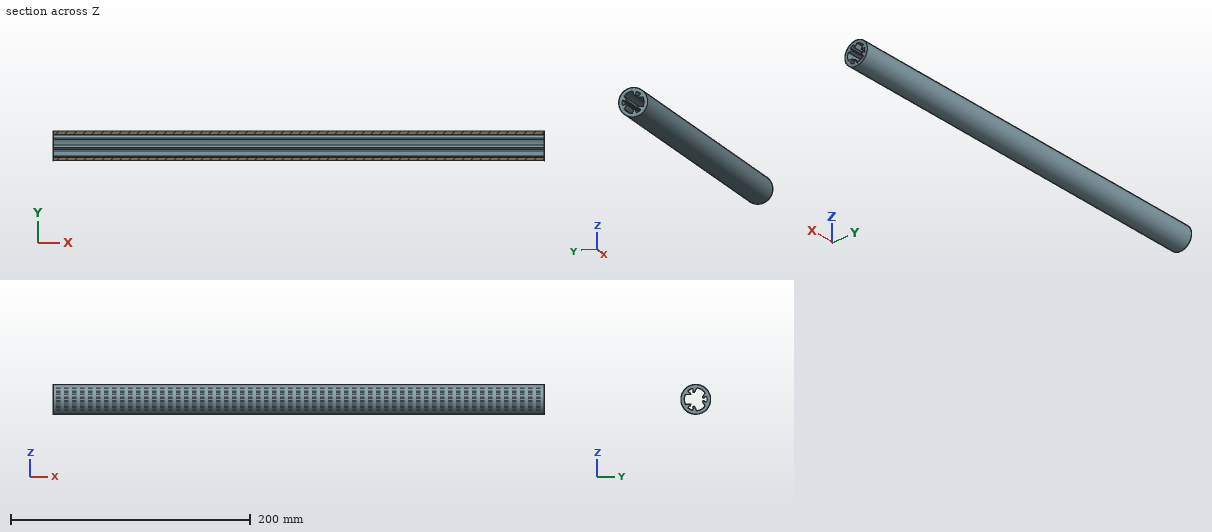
import cadquery as cq
import math

length = 410.0
outer_diameter = 25.0
bore_radius = 9.5

port_count = 3
rib_apex_radius = 4.5
rib_half_angle = 60.0
channel_diameter = 4.0
channel_center_radius = 8.5
neck_width = 1.5
neck_radius = 7.0
mouth_width = 3.3

outer_radius = outer_diameter / 2
rib_slope = math.tan(math.radians(rib_half_angle))
mouth_radius = rib_apex_radius + mouth_width / 2 / rib_slope


def end_plane():
    """Sketch plane on the -X end of the tube; sketch x is Y and sketch y is Z."""
    return cq.Workplane("YZ", origin=(-length / 2, 0, 0))


def rib():
    """Wedge-shaped rib on the +Y side, bounded by the round of the bore wall."""
    wedge_half_width = (outer_radius - rib_apex_radius) * rib_slope
    wedge = (
        end_plane()
        .moveTo(rib_apex_radius, 0)
        .lineTo(outer_radius, wedge_half_width)
        .lineTo(outer_radius, -wedge_half_width)
        .close()
        .extrude(length)
    )
    return wedge.intersect(end_plane().circle(bore_radius).extrude(length))


def channel():
    """Round screw channel on the +Y side with a narrow neck and a flared mouth."""
    round_part = (
        end_plane()
        .center(channel_center_radius, 0)
        .circle(channel_diameter / 2)
        .extrude(length)
    )
    mouth = (
        end_plane()
        .moveTo(channel_center_radius, -neck_width / 2)
        .lineTo(neck_radius, -neck_width / 2)
        .lineTo(mouth_radius, -mouth_width / 2)
        .lineTo(rib_apex_radius, -mouth_width / 2)
        .lineTo(rib_apex_radius, mouth_width / 2)
        .lineTo(mouth_radius, mouth_width / 2)
        .lineTo(neck_radius, neck_width / 2)
        .lineTo(channel_center_radius, neck_width / 2)
        .close()
        .extrude(length)
    )
    return round_part.union(mouth)


bore = end_plane().circle(bore_radius).extrude(length)
screw_port = rib().cut(channel())
for index in range(port_count):
    angle = index * 360 / port_count
    bore = bore.cut(screw_port.rotate((0, 0, 0), (1, 0, 0), angle))

result = end_plane().circle(outer_radius).extrude(length).cut(bore)